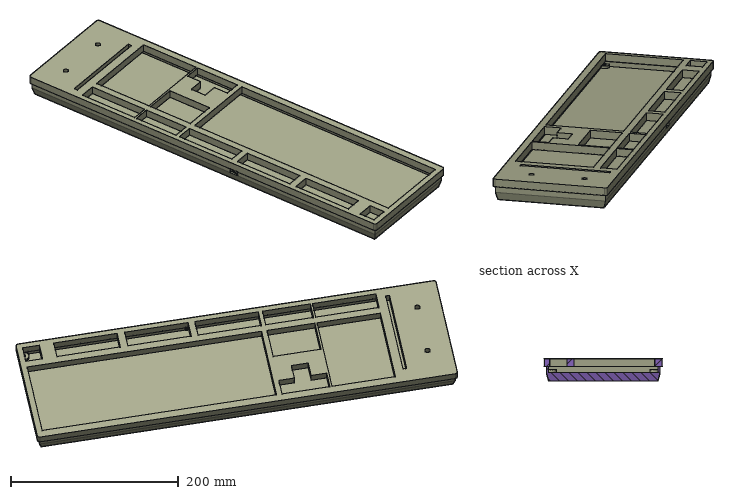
import cadquery as cq

LENGTH = 510.0
WIDTH = 141.0
HEIGHT = 27.0
LEFT = -LENGTH / 2
BACK = WIDTH / 2

COVER_THICKNESS = 9.5
COVER_CORNER = 3.0
COVER_BOTTOM = HEIGHT - COVER_THICKNESS

TRAY_INSET = 2.5
FOOT_INSET = 5.0
FOOT_HEIGHT = 9.5
WALL = 2.5
FLOOR_TOP = 10.5
TRAY_LENGTH = LENGTH - 2 * TRAY_INSET
TRAY_WIDTH = WIDTH - 2 * TRAY_INSET
CAVITY_LENGTH = TRAY_LENGTH - 2 * WALL
CAVITY_WIDTH = TRAY_WIDTH - 2 * WALL

POST_DIAMETER = 11.5
SCREW_HOLE_DIAMETER = 2.8
POST_INSET = 8.5
POST_HEIGHT = 3.0

NOTCH_CENTRE_X = 44.5
NOTCH_WIDTH = 11.0
NOTCH_HEIGHT = 6.5

KEY_PITCH = 19.0
KEY_CLEARANCE = 1.5
BLOCK_BACK = BACK - 9.0
FRONT_ROW_BACK = BACK - 113.5
NUMPAD_X = LEFT + 74.0
NAVIGATION_X = LEFT + 153.5
MAIN_X = LEFT + 218.5
FRONT_ROW_GROUPS = [
    (NUMPAD_X, 4),
    (NAVIGATION_X, 3),
    (LEFT + 217.0, 4),
    (LEFT + 302.0, 4),
    (LEFT + 388.0, 4),
    (LEFT + 482.5, 1),
]

SLOT_X = LEFT + 60.5
SLOT_Y = -3.5
SLOT_WIDTH = 4.5
SLOT_LENGTH = 110.0
HOLE_DIAMETER = 6.0
HOLE_X = LEFT + 29.0
HOLE_YS = (30.0, -35.0)


def opening_size(keys):
    """Length of an opening that holds the given number of keys."""
    return keys * KEY_PITCH + KEY_CLEARANCE


def key_opening(left, back, columns, rows):
    """Cutter for a block of keys, placed by its left and back edges."""
    return (
        cq.Workplane("XY", origin=(left, back, COVER_BOTTOM))
        .rect(opening_size(columns), -opening_size(rows), centered=False)
        .extrude(COVER_THICKNESS)
    )


def make_cover():
    cover = (
        cq.Workplane("XY", origin=(0, 0, COVER_BOTTOM))
        .rect(LENGTH, WIDTH)
        .extrude(COVER_THICKNESS)
        .edges("|Z")
        .fillet(COVER_CORNER)
    )
    cover = cover.cut(key_opening(NUMPAD_X, BLOCK_BACK, 4, 5))
    cover = cover.cut(key_opening(MAIN_X, BLOCK_BACK, 15, 5))

    cover = cover.cut(key_opening(NAVIGATION_X, BLOCK_BACK, 3, 1))
    cover = cover.cut(key_opening(NAVIGATION_X + KEY_PITCH, BLOCK_BACK, 1, 2))
    cover = cover.cut(key_opening(NAVIGATION_X, BLOCK_BACK - 3 * KEY_PITCH, 3, 2))

    for left, columns in FRONT_ROW_GROUPS:
        cover = cover.cut(key_opening(left, FRONT_ROW_BACK, columns, 1))

    slot = (
        cq.Workplane("XY", origin=(SLOT_X, SLOT_Y, COVER_BOTTOM))
        .rect(SLOT_WIDTH, SLOT_LENGTH)
        .extrude(COVER_THICKNESS)
    )
    holes = (
        cq.Workplane("XY", origin=(0, 0, COVER_BOTTOM))
        .pushPoints([(HOLE_X, y) for y in HOLE_YS])
        .circle(HOLE_DIAMETER / 2)
        .extrude(COVER_THICKNESS)
    )
    return cover.cut(slot).cut(holes)


def make_tray():
    foot = (
        cq.Workplane("XY")
        .rect(LENGTH - 2 * FOOT_INSET, WIDTH - 2 * FOOT_INSET)
        .workplane(offset=FOOT_HEIGHT)
        .rect(TRAY_LENGTH, TRAY_WIDTH)
        .loft(ruled=True)
    )
    walls = (
        cq.Workplane("XY", origin=(0, 0, FOOT_HEIGHT))
        .rect(TRAY_LENGTH, TRAY_WIDTH)
        .extrude(COVER_BOTTOM - FOOT_HEIGHT)
    )
    cavity = (
        cq.Workplane("XY", origin=(0, 0, FLOOR_TOP))
        .rect(CAVITY_LENGTH, CAVITY_WIDTH)
        .extrude(COVER_BOTTOM - FLOOR_TOP)
    )
    post_layout = (
        cq.Workplane("XY", origin=(0, 0, FLOOR_TOP))
        .rect(LENGTH - 2 * POST_INSET, WIDTH - 2 * POST_INSET, forConstruction=True)
        .vertices()
    )
    posts = post_layout.circle(POST_DIAMETER / 2).extrude(POST_HEIGHT)
    screw_holes = post_layout.circle(SCREW_HOLE_DIAMETER / 2).extrude(POST_HEIGHT)
    notch = (
        cq.Workplane("XY", origin=(NOTCH_CENTRE_X, -TRAY_WIDTH / 2 + WALL / 2, FOOT_HEIGHT))
        .rect(NOTCH_WIDTH, WALL)
        .extrude(NOTCH_HEIGHT)
    )
    return foot.union(walls).cut(cavity.cut(posts)).cut(screw_holes).cut(notch)


cover = make_cover()
tray = make_tray()
result = cq.Compound.makeCompound([cover.val(), tray.val()])